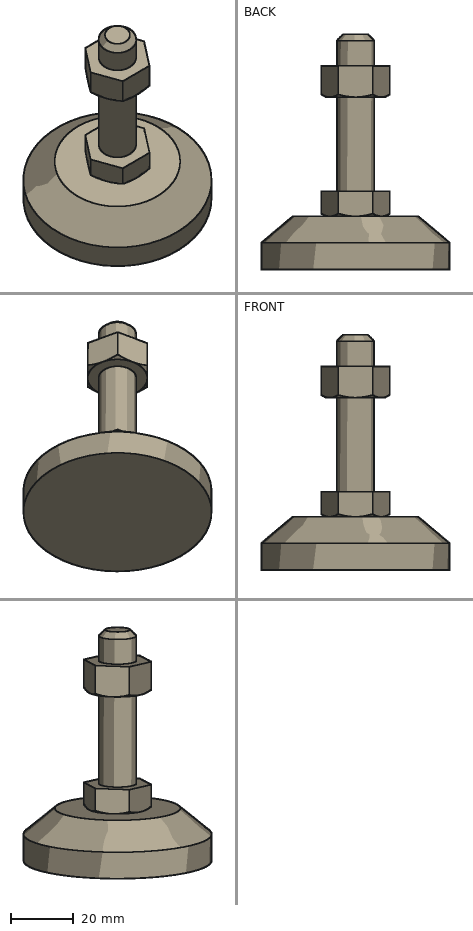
import cadquery as cq
import math

foot_diameter = 60.0
foot_top_diameter = 40.0
foot_rim_height = 8.6
foot_height = 17.0

overall_height = 75.0
stud_diameter = 12.0
stud_tip_chamfer = 2.0
stud_hex_height = 8.0

nut_height = 10.0
nut_top_z = 64.95

hex_sides = 6
hex_across_flats = 19.0
hex_across_corners = hex_across_flats / math.cos(math.pi / hex_sides)
hex_face_diameter = hex_across_flats
hex_chamfer_angle = 30.0


def make_chamfered_hexagon(bottom_z, height):
    """Hexagon with corners along X and a conical chamfer on its lower corners."""
    prism = cq.Workplane("XY").polygon(hex_sides, hex_across_corners).extrude(height)
    face_radius = hex_face_diameter / 2
    corner_radius = hex_across_corners / 2
    chamfer_height = (corner_radius - face_radius) * math.tan(math.radians(hex_chamfer_angle))
    chamfer_envelope = (
        cq.Workplane("XZ")
        .moveTo(0, 0)
        .lineTo(face_radius, 0)
        .lineTo(corner_radius, chamfer_height)
        .lineTo(corner_radius, height)
        .lineTo(0, height)
        .close()
        .revolve(360, (0, 0, 0), (0, 1, 0))
    )
    return prism.intersect(chamfer_envelope).translate((0, 0, bottom_z))


def make_foot():
    """Solid foot standing on Z = 0, tapering above its cylindrical rim."""
    return (
        cq.Workplane("XZ")
        .moveTo(0, 0)
        .lineTo(foot_diameter / 2, 0)
        .lineTo(foot_diameter / 2, foot_rim_height)
        .lineTo(foot_top_diameter / 2, foot_height)
        .lineTo(0, foot_height)
        .close()
        .revolve(360, (0, 0, 0), (0, 1, 0))
    )


def make_stud():
    """Stud with its hexagon resting on the foot and a chamfered upper end."""
    shank = (
        cq.Workplane("XY", origin=(0, 0, foot_height))
        .circle(stud_diameter / 2)
        .extrude(overall_height - foot_height)
        .faces(">Z")
        .chamfer(stud_tip_chamfer)
    )
    return shank.union(make_chamfered_hexagon(foot_height, stud_hex_height))


def make_nut():
    """Lock nut whose bore fits the stud."""
    bottom_z = nut_top_z - nut_height
    bore = (
        cq.Workplane("XY", origin=(0, 0, bottom_z))
        .circle(stud_diameter / 2)
        .extrude(nut_height)
    )
    return make_chamfered_hexagon(bottom_z, nut_height).cut(bore)


foot = make_foot()
stud = make_stud()
nut = make_nut()

result = cq.Compound.makeCompound([foot.val(), stud.val(), nut.val()])